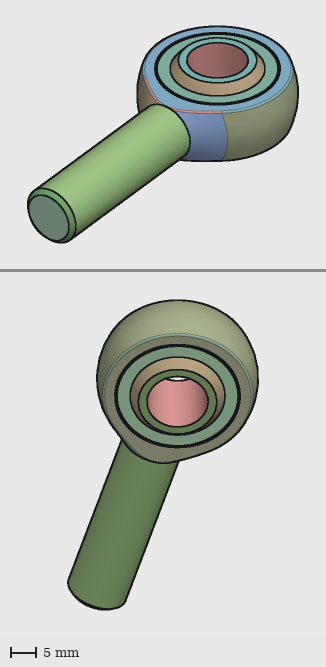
import cadquery as cq
import math

overall_length = 69.9
head_diameter = 31.8
shank_diameter = 12.0
tip_chamfer = 1.0
neck_angle = 45.0
edge_fillet = 0.5
race_diameter = 24.25
rim_chamfer = 0.2
ball_diameter = 22.2
ball_width = 16.0
bore_diameter = 12.0

head_radius = head_diameter / 2
shank_radius = shank_diameter / 2
head_width = shank_diameter
half_width = head_width / 2
tip_y = head_radius - overall_length
tangent_radius = head_radius * math.cos(math.radians(neck_angle))
tangent_y = -head_radius * math.sin(math.radians(neck_angle))
neck_end_y = tangent_y - (tangent_radius - shank_radius) / math.tan(math.radians(neck_angle))
apex_y = -head_radius / math.sin(math.radians(neck_angle))


def make_cylinder(diameter, height):
    """Cylinder along Z, centred on the origin."""
    return cq.Workplane("XY").circle(diameter / 2).extrude(height / 2, both=True)


def make_head():
    """Spherical eye with a tangent conical neck, cut flat above and below with rounded edges."""
    blank = (
        cq.Workplane("XY")
        .moveTo(0, head_radius)
        .threePointArc((head_radius, 0), (tangent_radius, tangent_y))
        .lineTo(0, apex_y)
        .close()
        .revolve(360, (0, 0, 0), (0, 1, 0))
    )
    slab = cq.Workplane("XY").box(overall_length, 2 * overall_length, head_width)
    flattened = blank.intersect(slab).faces("|Z").edges().fillet(edge_fillet)
    beyond_neck = cq.Workplane("XZ", origin=(0, neck_end_y, 0)).circle(head_radius).extrude(head_radius)
    return flattened.cut(beyond_neck)


def make_shank():
    """Plain round shank along -Y with a chamfered tip."""
    return (
        cq.Workplane("XZ", origin=(0, neck_end_y, 0))
        .circle(shank_radius)
        .extrude(neck_end_y - tip_y)
        .faces("<Y")
        .chamfer(tip_chamfer)
    )


def make_housing():
    """Rod end body with a through seat for the race, chamfered at both rims."""
    seat = make_cylinder(race_diameter, head_width)
    rim_cone = (
        cq.Workplane("XZ")
        .moveTo(0, half_width)
        .lineTo(race_diameter / 2 + rim_chamfer, half_width)
        .lineTo(race_diameter / 2, half_width - rim_chamfer)
        .lineTo(0, half_width - rim_chamfer)
        .close()
        .revolve(360, (0, 0, 0), (0, 1, 0))
    )
    return make_head().union(make_shank()).cut(seat).cut(rim_cone).cut(rim_cone.mirror("XY"))


def make_race():
    """Chamfered ring that fills the housing seat and holds the ball in a spherical socket."""
    ring = make_cylinder(race_diameter, head_width).faces("|Z").edges().chamfer(rim_chamfer)
    return ring.cut(cq.Workplane("XY").sphere(ball_diameter / 2))


def make_ball():
    """Ball with flat ends and a through bore."""
    return (
        cq.Workplane("XY")
        .sphere(ball_diameter / 2)
        .intersect(make_cylinder(ball_diameter, ball_width))
        .cut(make_cylinder(bore_diameter, ball_width))
    )


housing = make_housing()
race = make_race()
ball = make_ball()

result = cq.Compound.makeCompound([housing.val(), race.val(), ball.val()])